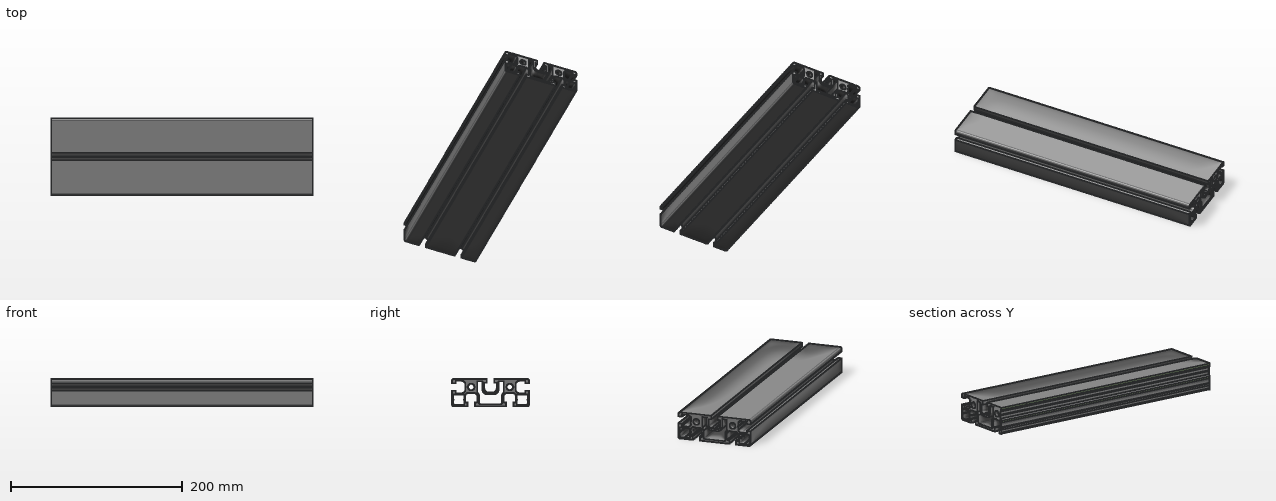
import cadquery as cq

LENGTH = 304.8
WIDTH = 90.0
HEIGHT = 32.0
CORNER_RADIUS = 2.5

SLOT_OPENING = 8.5
SLOT_LIP = 4.5
SLOT_DEPTH = 15.5
CHAMBER_WIDTH = 14.0
CHAMBER_FILLET = 3.7
GROOVE_WIDTH = 1.2
GROOVE_DEPTH = 0.45

QUARTER_Y = WIDTH / 4
BORE_DIAMETER = 7.3
BORE_Z = 22.5

SKIN = 2.7
CAVITY_HALF_TOP = 15.2
CAVITY_HALF_BOTTOM = 13.0
CAVITY_SHOULDER_Z = 16.2
CAVITY_SHOULDER_DROP = 3.0
CAVITY_FLOOR_FILLET = 1.0
TROUGH_WALL = 2.5
TROUGH_RADIUS = CHAMBER_FILLET + TROUGH_WALL

BOX_WALL = 1.8
BOX_WIDTH = 12.5
BOX_HEIGHT = 12.0
BOX_FILLET = 0.75
RIDGE_WIDTH = 1.0
RIDGE_HEIGHT = 0.37


def extrude_outline(points):
    """Full-length bar with a closed straight-sided outline in the YZ section."""
    return cq.Workplane("YZ").polyline(points).close().extrude(LENGTH)


def extrude_rectangle(width, height, y_center, z_center):
    """Full-length bar with a rectangular YZ section."""
    return cq.Workplane("YZ").center(y_center, z_center).rect(width, height).extrude(LENGTH)


def t_slot(grooved):
    """T-slot cutter that opens upward at the origin of the YZ section."""
    opening = extrude_rectangle(SLOT_OPENING, SLOT_DEPTH, 0, -SLOT_DEPTH / 2)
    chamber_height = SLOT_DEPTH - SLOT_LIP
    chamber = extrude_rectangle(CHAMBER_WIDTH, chamber_height, 0, -SLOT_LIP - chamber_height / 2)
    chamber = chamber.edges("|X and <Z").fillet(CHAMBER_FILLET)
    slot = opening.union(chamber)
    if grooved:
        groove = [
            (-GROOVE_WIDTH / 2, -SLOT_DEPTH),
            (0, -SLOT_DEPTH - GROOVE_DEPTH),
            (GROOVE_WIDTH / 2, -SLOT_DEPTH),
        ]
        slot = slot.union(extrude_outline(groove))
    return slot


def side_slot(side):
    """Grooved T-slot opening through the -Y or +Y face."""
    slot = t_slot(grooved=True)
    return slot.rotate((0, 0, 0), (1, 0, 0), -90 * side).translate((0, side * WIDTH / 2, BORE_Z))


def bottom_slot(side):
    """Plain T-slot opening through the bottom face at a quarter point."""
    return t_slot(grooved=False).rotate((0, 0, 0), (1, 0, 0), 180).translate((0, side * QUARTER_Y, 0))


def bore(side):
    """Round bore through the solid core above a bottom slot."""
    return cq.Workplane("YZ").center(side * QUARTER_Y, BORE_Z).circle(BORE_DIAMETER / 2).extrude(LENGTH)


def central_cavity():
    """Stepped central cavity with the rounded trough of the top slot left standing in it."""
    top = HEIGHT - SKIN
    shoulder_bottom = CAVITY_SHOULDER_Z - CAVITY_SHOULDER_DROP
    cavity = extrude_outline([
        (-CAVITY_HALF_TOP, top),
        (-CAVITY_HALF_TOP, CAVITY_SHOULDER_Z),
        (-CAVITY_HALF_BOTTOM, shoulder_bottom),
        (-CAVITY_HALF_BOTTOM, SKIN),
        (CAVITY_HALF_BOTTOM, SKIN),
        (CAVITY_HALF_BOTTOM, shoulder_bottom),
        (CAVITY_HALF_TOP, CAVITY_SHOULDER_Z),
        (CAVITY_HALF_TOP, top),
    ])
    cavity = cavity.edges("|X and <Z").fillet(CAVITY_FLOOR_FILLET)

    trough_width = CHAMBER_WIDTH + 2 * TROUGH_WALL
    trough_height = SLOT_DEPTH + TROUGH_WALL
    trough = extrude_rectangle(trough_width, trough_height, 0, HEIGHT - trough_height / 2)
    trough = trough.edges("|X and <Z").fillet(TROUGH_RADIUS)
    return cavity.cut(trough)


def corner_box(side):
    """Hollow of a lower corner box, notched where a ridge runs along each wall."""
    hollow = extrude_rectangle(BOX_WIDTH, BOX_HEIGHT, 0, 0).edges("|X").fillet(BOX_FILLET)
    for angle, span in ((0, BOX_HEIGHT), (90, BOX_WIDTH), (180, BOX_HEIGHT), (270, BOX_WIDTH)):
        ridge = extrude_outline([
            (-RIDGE_WIDTH / 2, -span / 2),
            (0, RIDGE_HEIGHT - span / 2),
            (RIDGE_WIDTH / 2, -span / 2),
        ])
        hollow = hollow.cut(ridge.rotate((0, 0, 0), (1, 0, 0), angle))
    y_center = side * (WIDTH / 2 - BOX_WALL - BOX_WIDTH / 2)
    return hollow.translate((0, y_center, BOX_WALL + BOX_HEIGHT / 2))


profile = extrude_rectangle(WIDTH, HEIGHT, 0, HEIGHT / 2).edges("|X").fillet(CORNER_RADIUS)
profile = profile.cut(central_cavity())
profile = profile.cut(t_slot(grooved=True).translate((0, 0, HEIGHT)))

for side in (-1, 1):
    for feature in (side_slot, bottom_slot, bore, corner_box):
        profile = profile.cut(feature(side))

result = profile